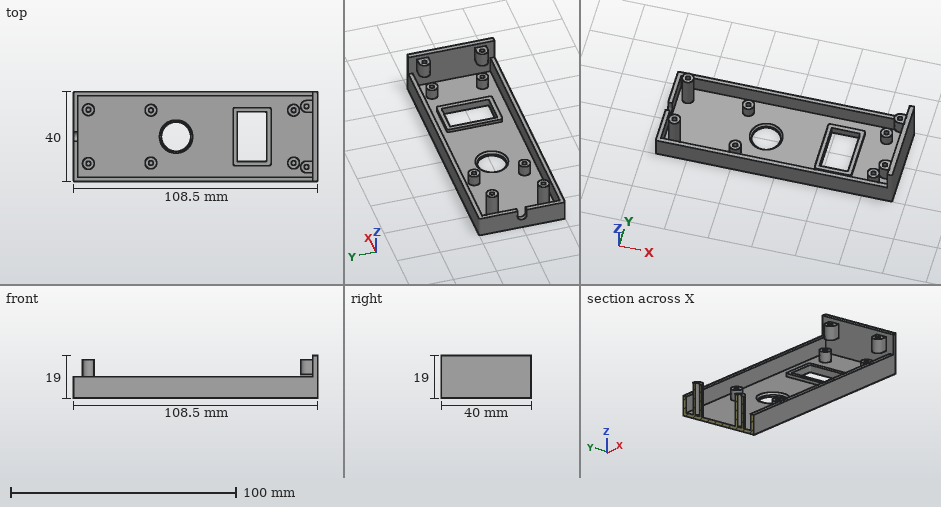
import cadquery as cq

length = 108.5
width = 40.0
tray_height = 9.5
wall = 2.0
floor = 2.0
corner_radius = 0.8

plate_height = 19.0
plate_thickness = 2.3

post_diameter = 5.2
screw_diameter = 2.1
post_top = 17.0
tall_post_x = 6.6
tall_post_y = 11.9
short_post_height = 5.0
short_post_x = (34.4, 97.8)
short_post_y = 11.7

boss_x = 103.5
boss_y = 13.5
boss_bottom = 10.4

opening_x = 45.6
opening_diameter = 13.0
opening_top_diameter = 14.8
countersink_depth = 1.0

window_x = 79.3
window_length = 13.0
window_width = 21.9
window_radius = 0.5
frame_border = 2.0
frame_height = 1.5
frame_radius = 1.0

notch_width = 4.2
notch_bottom = 4.5

cavity_end = length - plate_thickness


def block(x_start, x_end, size_y, z_bottom, z_top):
    """Box centred on Y = 0."""
    size_x = x_end - x_start
    box = cq.Workplane("XY").box(size_x, size_y, z_top - z_bottom, centered=(False, True, False))
    return box.translate((x_start, 0, z_bottom))


def cylinder(x, y, diameter, z_bottom, z_top):
    """Upright cylinder."""
    base = cq.Workplane("XY", origin=(x, y, z_bottom))
    return base.circle(diameter / 2).extrude(z_top - z_bottom)


def make_shell():
    """Open tray with its end plate and rounded vertical corners."""
    tray = block(0, length, width, 0, tray_height)
    plate = block(cavity_end, length, width, 0, plate_height)
    outside = tray.union(plate).edges("|Z and (<X or >X)").fillet(corner_radius)
    cavity = block(wall, cavity_end, width - 2 * wall, floor, tray_height)
    return outside.cut(cavity)


def make_post(x, y, z_top):
    """Post standing on the floor, with a screw hole down to the floor."""
    post = cylinder(x, y, post_diameter, floor, z_top)
    return post.cut(cylinder(x, y, screw_diameter, floor, z_top))


def make_boss(y):
    """Round-nosed boss joined to the end plate, with a screw hole through it."""
    nose = cylinder(boss_x, y, post_diameter, boss_bottom, post_top)
    arm = block(boss_x, cavity_end, post_diameter, boss_bottom, post_top).translate((0, y, 0))
    return nose.union(arm).cut(cylinder(boss_x, y, screw_diameter, boss_bottom, post_top))


def make_opening():
    """Round hole through the floor with a countersink on the inside."""
    hole = cylinder(opening_x, 0, opening_diameter, 0, floor)
    cone_base = cq.Workplane("XY", origin=(opening_x, 0, floor - countersink_depth))
    cone = cone_base.circle(opening_diameter / 2)
    cone = cone.workplane(offset=countersink_depth).circle(opening_top_diameter / 2).loft()
    return hole.union(cone)


def make_frame():
    """Raised rim around the window."""
    half_length = window_length / 2 + frame_border
    frame_width = window_width + 2 * frame_border
    rim = block(window_x - half_length, window_x + half_length, frame_width, floor, floor + frame_height)
    return rim.edges("|Z").fillet(frame_radius)


def make_window():
    """Through opening with its two +X corners rounded."""
    half_length = window_length / 2
    opening = block(window_x - half_length, window_x + half_length, window_width, 0, floor + frame_height)
    return opening.edges("|Z and >X").fillet(window_radius)


def make_notch():
    """Round-bottomed cable notch, open at the top of the wall."""
    radius = notch_width / 2
    centre_z = notch_bottom + radius
    slot = block(0, wall, notch_width, centre_z, tray_height)
    round_bottom = cq.Workplane("YZ", origin=(0, 0, centre_z)).circle(radius).extrude(wall)
    return slot.union(round_bottom)


result = make_shell().union(make_frame())
for side in (-1, 1):
    result = result.union(make_post(tall_post_x, side * tall_post_y, post_top))
    for post_x in short_post_x:
        result = result.union(make_post(post_x, side * short_post_y, floor + short_post_height))
    result = result.union(make_boss(side * boss_y))
result = result.cut(make_opening()).cut(make_window()).cut(make_notch())